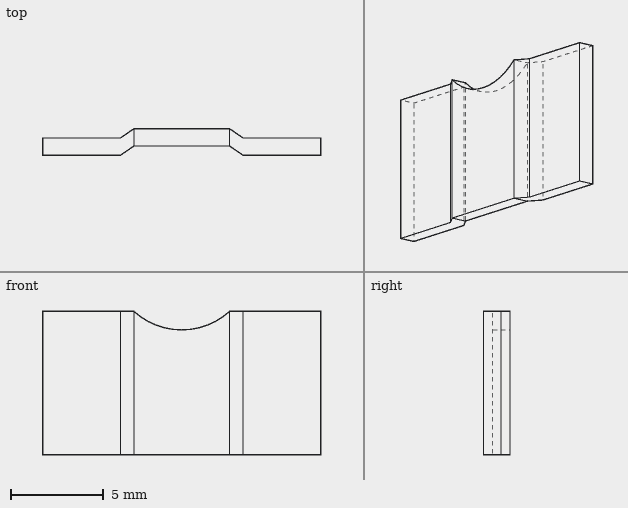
import cadquery as cq

length = 15.0
height = 7.75
depth = 1.44

thickness = 0.95
step = depth - thickness

center_width = 5.18
ramp_length = 0.72
notch_depth = 1.0

half_length = length / 2
joint_x = center_width / 2
bend_x = joint_x + ramp_length
front_y = -depth / 2
center_front_y = front_y + step
bottom_z = -height / 2
top_z = height / 2


def make_terminal(side):
    """Flat end tab with the ramp that rises to the centre plate; side is -1 or 1 along X."""
    return (
        cq.Workplane("XY", origin=(0, 0, bottom_z))
        .moveTo(side * half_length, front_y)
        .lineTo(side * bend_x, front_y)
        .lineTo(side * joint_x, center_front_y)
        .lineTo(side * joint_x, center_front_y + thickness)
        .lineTo(side * bend_x, front_y + thickness)
        .lineTo(side * half_length, front_y + thickness)
        .close()
        .extrude(height)
    )


def make_center_plate():
    """Flat plate whose whole top edge is a shallow concave arc."""
    return (
        cq.Workplane("XZ", origin=(0, center_front_y, 0))
        .moveTo(-joint_x, bottom_z)
        .lineTo(joint_x, bottom_z)
        .lineTo(joint_x, top_z)
        .threePointArc((0, top_z - notch_depth), (-joint_x, top_z))
        .close()
        .extrude(-thickness)
    )


center_plate = make_center_plate()
terminals = [make_terminal(side) for side in (-1, 1)]

result = cq.Compound.makeCompound(
    [center_plate.val(), *[terminal.val() for terminal in terminals]]
)